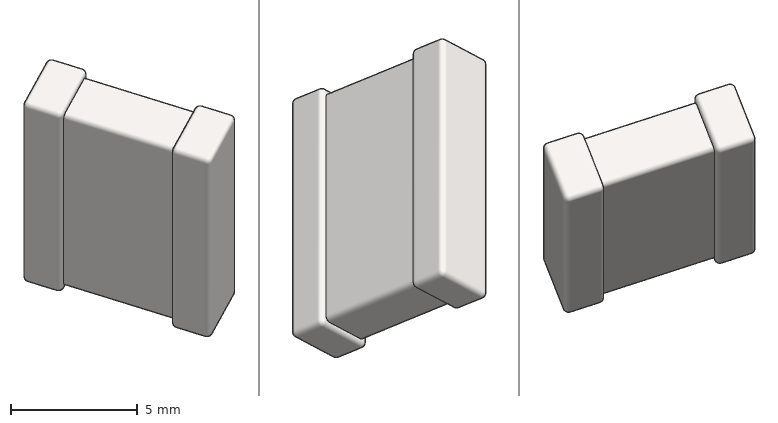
import cadquery as cq

LENGTH = 8.0
DEPTH = 2.7
HEIGHT = 10.6

TERMINAL_LENGTH = 1.67
EDGE_RADIUS = 0.22

BODY_SETBACK = EDGE_RADIUS
BODY_LENGTH = LENGTH - 2 * TERMINAL_LENGTH
BODY_DEPTH = DEPTH - 2 * BODY_SETBACK
BODY_HEIGHT = HEIGHT - 2 * BODY_SETBACK

TERMINAL_OFFSET = (LENGTH - TERMINAL_LENGTH) / 2


def make_body():
    """Block between the terminals, rounded along its four long edges."""
    return cq.Workplane("XY").box(BODY_LENGTH, BODY_DEPTH, BODY_HEIGHT).edges("|X").fillet(EDGE_RADIUS)


def make_terminal(center_x):
    """End terminal, a block with every edge rounded."""
    return (
        cq.Workplane("XY")
        .box(TERMINAL_LENGTH, DEPTH, HEIGHT)
        .edges()
        .fillet(EDGE_RADIUS)
        .translate((center_x, 0, 0))
    )


body = make_body()
terminals = [make_terminal(side * TERMINAL_OFFSET) for side in (-1, 1)]

result = cq.Compound.makeCompound([body.val(), *[terminal.val() for terminal in terminals]])